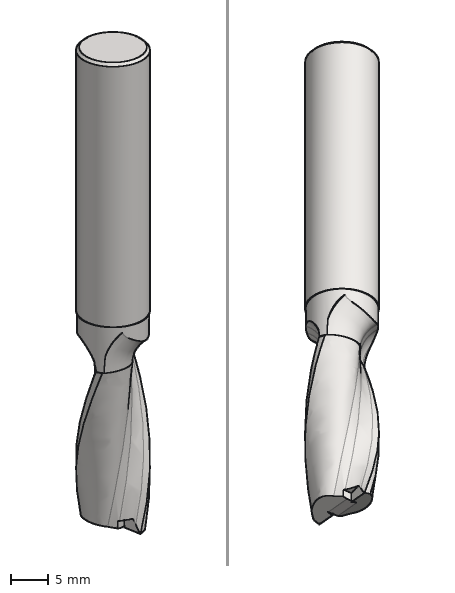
import cadquery as cq
import math

TOTAL_LENGTH = 72.0
SHANK_RADIUS = 5.005
CUTTER_RADIUS = SHANK_RADIUS
NECK_RADIUS = 4.9
CUTTER_LENGTH = 25.05
NECK_TOP = 32.1
SHANK_CHAMFER = 0.4

TWIST_PER_UNIT = 4.167
TWIST = TWIST_PER_UNIT * CUTTER_LENGTH
LAND_ANGLE = 11.0
FLANK_POINTS = [(4.0, 1.95), (2.8, 2.7), (0.8, 3.2), (-0.9, 2.3)]
FLUTE_START = (-2.1, 1.45)
FLUTE_MIDDLE = (-3.1, 0.7)
RAKE_START = (-4.1, 0.35)

RUNOUT_DIRECTION = 119.0
RUNOUT_AXIS_OFFSET = 6.8
RUNOUT_OUTER_OFFSET = 6.1
RUNOUT_CLEAR_RADIUS = 8.65
RUNOUT_ANGLE = 90.0

END_RELIEF_ANGLE = 15.0
GASH_START = 2.1
GASH_WIDTH = 1.8
GASH_INNER_HEIGHT = 1.45
GASH_OUTER_HEIGHT = 2.15
CENTRE_RELIEF = 0.2
CUT_SIZE = 2 * SHANK_RADIUS + 1.45


def polar(radius, angle):
    return (radius * math.cos(math.radians(angle)), radius * math.sin(math.radians(angle)))


def opposite(points):
    return [(-x, -y) for x, y in points]


EDGE = (CUTTER_RADIUS, 0)
LAND_MIDDLE = polar(CUTTER_RADIUS, LAND_ANGLE / 2)
LAND_END = polar(CUTTER_RADIUS, LAND_ANGLE)
OPPOSITE_EDGE = (-CUTTER_RADIUS, 0)


def add_flank_and_flute(outline, points_of):
    """Continue an outline from a land end, over the flank and flute, to the next cutting edge."""
    flute_start, flute_middle, rake_start, edge = points_of(
        [FLUTE_START, FLUTE_MIDDLE, RAKE_START, OPPOSITE_EDGE]
    )
    return (
        outline.spline(points_of(FLANK_POINTS), includeCurrent=True)
        .lineTo(*flute_start)
        .threePointArc(flute_middle, rake_start)
        .lineTo(*edge)
    )


def make_fluted_blank():
    outline = cq.Workplane("XY").moveTo(*EDGE)
    for points_of in (list, opposite):
        land = points_of([LAND_MIDDLE, LAND_END])
        outline = outline.threePointArc(*land)
        outline = add_flank_and_flute(outline, points_of)
    return outline.close().twistExtrude(CUTTER_LENGTH, TWIST)


def make_end_relief():
    """Wedge below one half of the tip, rising away from the cutting edges."""
    rise = CUT_SIZE * math.tan(math.radians(END_RELIEF_ANGLE))
    return (
        cq.Workplane("YZ")
        .polyline([(0, 0), (CUT_SIZE, 0), (CUT_SIZE, rise)])
        .close()
        .extrude(CUT_SIZE / 2, both=True)
    )


def make_gash():
    """Flat rake notch in front of one cutting edge."""
    profile = [
        (GASH_START, 0),
        (CUTTER_RADIUS, 0),
        (CUTTER_RADIUS, GASH_OUTER_HEIGHT),
        (GASH_START, GASH_INNER_HEIGHT),
    ]
    return cq.Workplane("XZ").polyline(profile).close().extrude(GASH_WIDTH)


def make_cutter():
    cutter = make_fluted_blank()
    for angle in (0, 180):
        for tool in (make_end_relief(), make_gash()):
            cutter = cutter.cut(tool.rotate((0, 0, 0), (0, 0, 1), angle))
    centre_slot = cq.Workplane("XY").box(
        2 * GASH_START, CUT_SIZE, CENTRE_RELIEF, centered=(True, True, False)
    )
    return cutter.cut(centre_slot)


def runout_outer_point(point):
    """Point moved along the run-out direction to the outer limit of the flute space."""
    x_step, y_step = polar(1, RUNOUT_DIRECTION)
    distance = RUNOUT_OUTER_OFFSET - (point[0] * x_step + point[1] * y_step)
    return (point[0] + distance * x_step, point[1] + distance * y_step)


def make_flute_runout():
    """Flute space above the cutter, swung outward until it leaves the neck."""
    axis_point = polar(RUNOUT_AXIS_OFFSET, RUNOUT_DIRECTION)
    axis_step = polar(0.7, RUNOUT_DIRECTION - 90)
    axis_end = (axis_point[0] + axis_step[0], axis_point[1] + axis_step[1])
    clear_of_neck = polar(RUNOUT_CLEAR_RADIUS, LAND_ANGLE)
    outline = add_flank_and_flute(cq.Workplane("XY").moveTo(*LAND_END), list)
    return (
        outline.lineTo(*runout_outer_point(OPPOSITE_EDGE))
        .lineTo(*runout_outer_point(clear_of_neck))
        .lineTo(*clear_of_neck)
        .close()
        .revolve(RUNOUT_ANGLE, axis_end, axis_point)
        .translate((0, 0, CUTTER_LENGTH))
    )


def make_shank():
    neck = (
        cq.Workplane("XY")
        .workplane(offset=CUTTER_LENGTH)
        .circle(NECK_RADIUS)
        .extrude(NECK_TOP - CUTTER_LENGTH)
    )
    for angle in (0, 180):
        neck = neck.cut(make_flute_runout().rotate((0, 0, 0), (0, 0, 1), TWIST + angle))
    shank = (
        cq.Workplane("XY")
        .workplane(offset=NECK_TOP)
        .circle(SHANK_RADIUS)
        .extrude(TOTAL_LENGTH - NECK_TOP)
        .faces(">Z")
        .chamfer(SHANK_CHAMFER)
    )
    return shank.union(neck)


cutter = make_cutter()
shank = make_shank()
result = cq.Compound.makeCompound([cutter.val(), shank.val()])